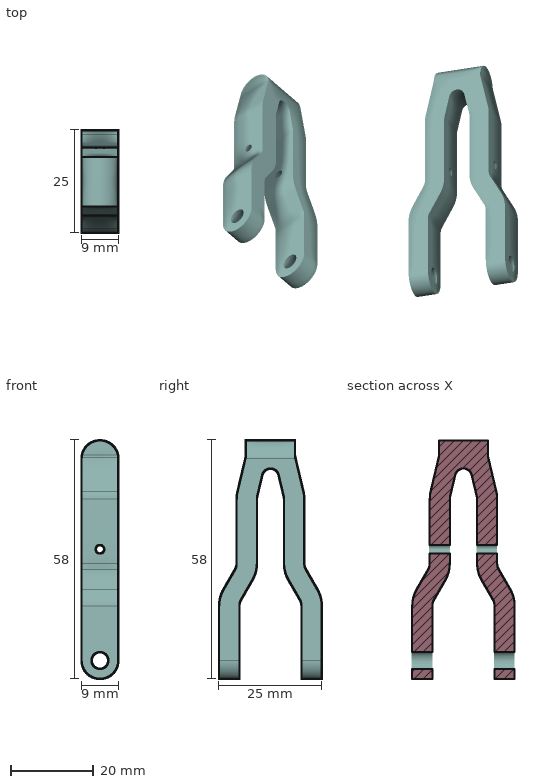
import cadquery as cq
import math

width = 9.0
height = 58.0
leg_thickness = 5.0

head_half_spread = 6.0
waist_half_spread = 8.25
foot_half_spread = 12.5

shoulder_top_z = 54.1
shoulder_bottom_z = 44.6
foot_bend_z = 19.9
splay_angle = math.radians(30.0)

inside_bend_radius = 3.0
outside_bend_radius = inside_bend_radius + leg_thickness
crotch_radius = 2.0

pivot_hole_diameter = 4.0
pivot_hole_z = width / 2
pin_hole_diameter = 2.0
pin_hole_z = 31.5

shoulder_angle = math.atan2(waist_half_spread - head_half_spread, shoulder_top_z - shoulder_bottom_z)
waist_bend_z = foot_bend_z + (foot_half_spread - waist_half_spread) / math.tan(splay_angle)


def inner_corner_z(outer_z, angle):
    """Height of the inner corner of a bend, for a leg of constant thickness."""
    return outer_z - leg_thickness * math.tan(angle / 2)


def rounded_outline(corners):
    """Closed YZ outline from (y, z, radius) corners; radius 0 keeps the corner sharp."""
    points = [cq.Vector(y, z) for y, z, _ in corners]
    outline = cq.Workplane("YZ").moveTo(points[0].x, points[0].y)
    for i in range(1, len(corners)):
        corner = points[i]
        radius = corners[i][2]
        if radius == 0:
            outline = outline.lineTo(corner.x, corner.y)
            continue
        back = (points[i - 1] - corner).normalized()
        ahead = (points[(i + 1) % len(points)] - corner).normalized()
        half_angle = back.getAngle(ahead) / 2
        tangent_length = radius / math.tan(half_angle)
        mid_distance = radius / math.sin(half_angle) - radius
        start = corner + back * tangent_length
        middle = corner + (back + ahead).normalized() * mid_distance
        end = corner + ahead * tangent_length
        outline = outline.lineTo(start.x, start.y)
        outline = outline.threePointArc((middle.x, middle.y), (end.x, end.y))
    return outline.close()


def opposite_side(half):
    """The -Y copy of a run of corners, in reverse order to continue the outline."""
    return [(-y, z, radius) for y, z, radius in reversed(half)]


def fork_body():
    """Fork outline, from the +Y foot over the head to the -Y foot and back along the opening."""
    outer_half = [
        (foot_half_spread, 0, 0),
        (foot_half_spread, foot_bend_z, outside_bend_radius),
        (waist_half_spread, waist_bend_z, inside_bend_radius),
        (waist_half_spread, shoulder_bottom_z, outside_bend_radius),
        (head_half_spread, shoulder_top_z, inside_bend_radius),
        (head_half_spread, height, 0),
    ]
    foot_inner_y = foot_half_spread - leg_thickness
    waist_inner_y = waist_half_spread - leg_thickness
    shoulder_inner_z = inner_corner_z(shoulder_bottom_z, shoulder_angle)
    apex_z = shoulder_inner_z + waist_inner_y / math.tan(shoulder_angle)
    opening_half = [
        (foot_inner_y, 0, 0),
        (foot_inner_y, inner_corner_z(foot_bend_z, splay_angle), inside_bend_radius),
        (waist_inner_y, inner_corner_z(waist_bend_z, splay_angle), outside_bend_radius),
        (waist_inner_y, shoulder_inner_z, inside_bend_radius),
    ]
    crotch = (0, apex_z, crotch_radius)
    opening = opening_half + [crotch] + opposite_side(opening_half)
    outline = outer_half + opposite_side(outer_half) + opening[::-1]
    return rounded_outline(outline).extrude(width / 2, both=True)


def rounded_envelope():
    """Slot-shaped bar along Y that rounds the head and both feet to full half-circles."""
    slot = cq.Workplane("XZ").center(0, height / 2).slot2D(height, width, 90)
    return slot.extrude(foot_half_spread, both=True)


def cross_hole(diameter, z):
    """Cylinder along Y that passes through both legs."""
    return cq.Workplane("XZ").center(0, z).circle(diameter / 2).extrude(foot_half_spread, both=True)


result = (
    fork_body()
    .intersect(rounded_envelope())
    .cut(cross_hole(pivot_hole_diameter, pivot_hole_z))
    .cut(cross_hole(pin_hole_diameter, pin_hole_z))
)